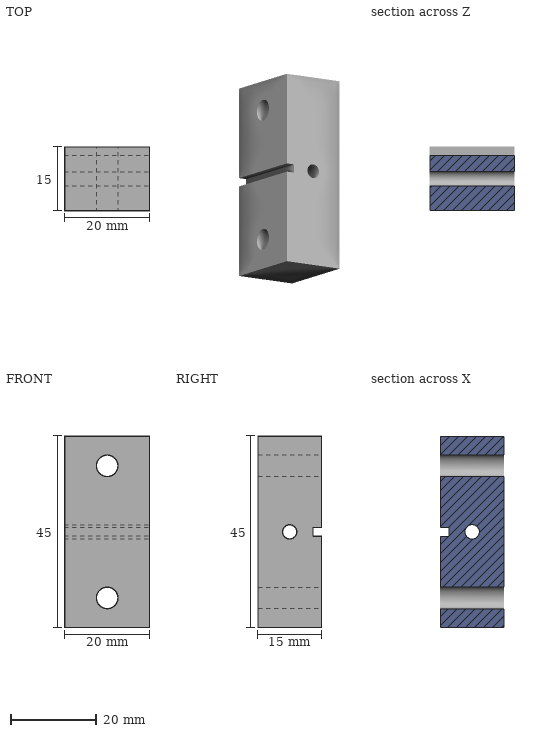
import cadquery as cq

width = 20.0
depth = 15.0
height = 45.0

mount_hole_diameter = 5.0
mount_hole_spacing = 31.0

cross_hole_diameter = 3.3

groove_size = 2.0

block = cq.Workplane("XY").box(width, depth, height)

mount_holes = (
    cq.Workplane("XZ")
    .rarray(0.45, mount_hole_spacing, 1, 2)
    .circle(mount_hole_diameter / 2)
    .extrude(depth, both=True)
)

cross_hole = (
    cq.Workplane("YZ")
    .circle(cross_hole_diameter / 2)
    .extrude(width, both=True)
)

groove = (
    cq.Workplane("XY")
    .box(width, groove_size, groove_size)
    .translate((0, (depth - groove_size) / 2, 0))
)

result = block.cut(mount_holes).cut(cross_hole).cut(groove)